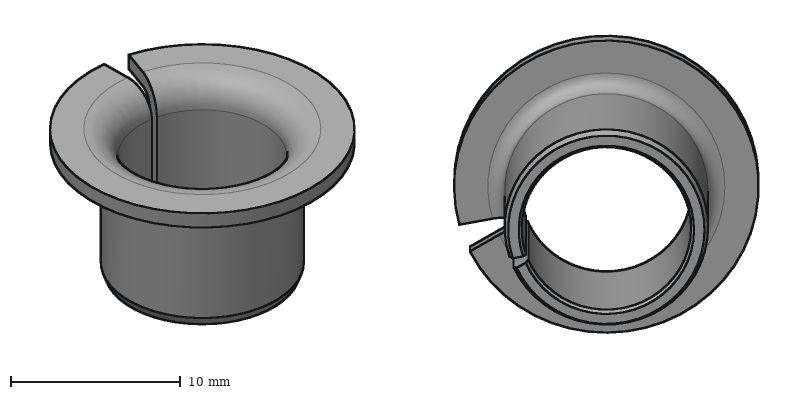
import cadquery as cq
import math

flange_radius = 8.97
bore_radius = 4.99
wall = 1.0
height = 10.0
bore_bend_radius = 2.0
outer_bend_radius = bore_bend_radius - wall
chamfer_height = 0.6
chamfer_angle = 20.0
bore_chamfer_height = 0.3
bore_chamfer_angle = 30.0

split_half_angle = 10.0
split_half_width_at_bore = 0.18
split_overrun = 1.8

sleeve_radius = bore_radius + wall
flange_underside = height - wall
bend_center_radius = bore_radius + bore_bend_radius
bend_center_z = height - bore_bend_radius
chamfer_width = chamfer_height * math.tan(math.radians(chamfer_angle))
bore_chamfer_width = bore_chamfer_height * math.tan(math.radians(bore_chamfer_angle))


def bend_midpoint(radius):
    """Middle of a quarter arc joining the sleeve to the flange."""
    offset = radius * math.sqrt(0.5)
    return bend_center_radius - offset, bend_center_z + offset


def make_bushing():
    """Revolved wall profile, with both bends sharing one center."""
    profile = (
        cq.Workplane("XZ")
        .moveTo(bore_radius, bore_chamfer_height)
        .lineTo(bore_radius + bore_chamfer_width, 0)
        .lineTo(sleeve_radius - chamfer_width, 0)
        .lineTo(sleeve_radius, chamfer_height)
        .lineTo(sleeve_radius, bend_center_z)
        .threePointArc(bend_midpoint(outer_bend_radius), (bend_center_radius, flange_underside))
        .lineTo(flange_radius, flange_underside)
        .lineTo(flange_radius, height)
        .lineTo(bend_center_radius, height)
        .threePointArc(bend_midpoint(bore_bend_radius), (bore_radius, bend_center_z))
        .close()
    )
    return profile.revolve(360, (0, 0, 0), (0, 1, 0)).rotate((0, 0, 0), (0, 0, 1), 180)


def make_split():
    """Wedge that opens outward through the full height."""
    slope = math.tan(math.radians(split_half_angle))
    apex_x = split_half_width_at_bore / slope - bore_radius
    outer_x = -flange_radius - split_overrun
    outer_half_width = (apex_x - outer_x) * slope
    return (
        cq.Workplane("XY")
        .polyline([(apex_x, 0), (outer_x, outer_half_width), (outer_x, -outer_half_width)])
        .close()
        .extrude(height)
    )


result = make_bushing().cut(make_split())